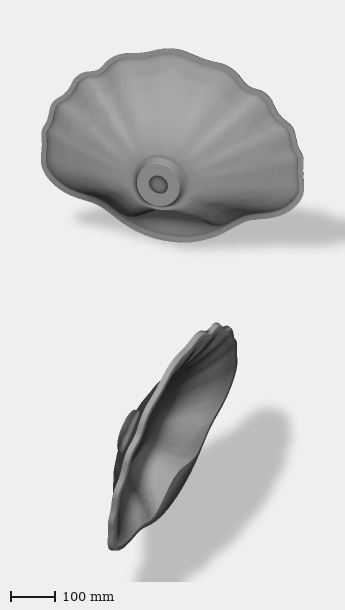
import cadquery as cq
import math


wall = 7.5

rim_thickness = 12.5
rim_draft_inset = 3.0
rim_edge_break = 2.0
lip_width = 12.0
deck_y = -wall

bowl_gap = 2.0
bowl_floor_y = -102.0
bowl_floor_radius = 65.0
top_rim_slope = 0.55
top_floor_slope = 0.35
side_rim_slope = 0.75
side_floor_slope = -0.1
cavity_inset = 3.0

notch_height = 68.5
notch_half_width = 133.5

boss_height = 20.0
boss_tip_radius = 50.5
boss_draft = math.radians(9.5)
boss_fillet = 10.5
drain_radius = 23.0
sump_radius = boss_tip_radius - wall

stopper_lift = 11.0
stopper_face_radius = 30.5
stopper_bevel_height = 5.5

boss_tip_y = bowl_floor_y - boss_height
sump_floor_y = boss_tip_y + wall
cavity_floor_y = bowl_floor_y + wall

half_outline = [
    (0, 289.0), (30.0, 285.5), (58.5, 276.0), (87.0, 269.0), (118.0, 265.0), (139.0, 255.5),
    (156.5, 241.0), (175.5, 221.0), (193.0, 214.0), (209.5, 210.0), (226.0, 199.0), (235.0, 188.0), (240.5, 175.5),
    (249.0, 161.5), (260.0, 149.0), (273.0, 140.0), (285.0, 127.0), (290.5, 111.0), (293.5, 96.0),
    (298.5, 80.0), (306.5, 65.0), (309.5, 48.5), (308.5, 28.5), (311.0, -9.0), (307.0, -32.5),
    (289.0, -59.5), (257.0, -83.5), (216.5, -96.5), (181.0, -104.5), (150.0, -121.0), (117.5, -143.0),
    (78.5, -161.5), (40.0, -172.0), (0, -175.5),
]
outline_samples = 144
profile_steps = 6


def closed_spline(points):
    """Closed smooth wire through points."""
    return cq.Wire.assembleEdges([cq.Edge.makeSpline(points, periodic=True)])


def rim_wire(distance, y):
    """Inset rim outline as a wire in the plane at y."""
    return closed_spline([cq.Vector(x, y, z) for x, z in inset_outline(distance)])


def rim_outline():
    """The scalloped outline as one closed edge, symmetric about x = 0."""
    mirrored = [(-x, z) for x, z in half_outline[-2:0:-1]]
    points = [cq.Vector(x, 0, z) for x, z in half_outline + mirrored]
    return cq.Edge.makeSpline(points, periodic=True)


def inset_outline(distance):
    """Points of the rim outline moved inward by a distance."""
    edge = rim_outline()
    fractions = [i / outline_samples for i in range(outline_samples)]
    points = []
    for place, tangent in zip(edge.positions(fractions), edge.tangents(fractions)):
        points.append((place.x + distance * tangent.z, place.z - distance * tangent.x))
    return points


def bowl_outline(distance):
    """Inset outline with a rounded notch raised into its lower side."""
    points = []
    for x, z in inset_outline(distance):
        if z < 0 and abs(x) < notch_half_width:
            z += notch_height * math.cos(math.pi * x / (2 * notch_half_width)) ** 2
        points.append((x, z))
    return points


def wall_profile(u, upness):
    """Depth fraction of the bowl wall: cubic from 0 at the outline to 1 at the floor circle.

    upness is 1 straight up from the drain and 0 at the sides and below.
    """
    rim_slope = side_rim_slope + upness * (top_rim_slope - side_rim_slope)
    floor_slope = side_floor_slope + upness * (top_floor_slope - side_floor_slope)
    from_rim = rim_slope * (u - 2 * u**2 + u**3)
    to_floor = floor_slope * (u**3 - u**2)
    return from_rim + to_floor + 3 * u**2 - 2 * u**3


def bowl_solid(outline, start_y, floor_radius, floor_y):
    """Solid lofted along radial lines from an outline to the floor circle."""
    sections = []
    for step in range(profile_steps + 1):
        u = step / profile_steps
        points = []
        for x, z in outline:
            radius = math.hypot(x, z)
            shrink = 1 - u + u * floor_radius / radius
            depth = wall_profile(u, max(0, z / radius) ** 2) * (floor_y - start_y)
            points.append(cq.Vector(x * shrink, start_y + depth, z * shrink))
        sections.append(closed_spline(points))
    return cq.Workplane(cq.Solid.makeLoft(sections))


def cylinder_y(radius, start_y, length):
    """Cylinder on the drain axis, from start_y toward +Y."""
    return cq.Workplane(cq.Solid.makeCylinder(radius, length, cq.Vector(0, start_y, 0), cq.Vector(0, 1, 0)))


def make_rim():
    """Drafted, bevelled slab with the recess that leaves the lip and the deck."""
    sections = [
        rim_wire(0, -rim_thickness),
        rim_wire(rim_draft_inset, -rim_edge_break),
        rim_wire(rim_draft_inset + rim_edge_break, 0),
    ]
    slab = cq.Workplane(cq.Solid.makeLoft(sections, ruled=True))
    recess_wire = rim_wire(lip_width, -rim_thickness)
    recess = cq.Solid.extrudeLinear(recess_wire, [], cq.Vector(0, deck_y + rim_thickness, 0))
    return slab.cut(cq.Workplane(recess))


def make_boss():
    """Drafted drain boss that flares into the bowl floor through a fillet."""
    tangent_length = boss_fillet * math.tan((math.pi / 2 - boss_draft) / 2)
    base_radius = boss_tip_radius + boss_height * math.tan(boss_draft)
    fillet_outer = base_radius + tangent_length
    side_radius = base_radius - tangent_length * math.sin(boss_draft)
    side_y = bowl_floor_y - tangent_length * math.cos(boss_draft)
    centre_y = bowl_floor_y - boss_fillet
    half_sweep = (math.pi / 2 - boss_draft) / 2
    mid_radius = fillet_outer - boss_fillet * math.sin(half_sweep)
    mid_y = centre_y + boss_fillet * math.cos(half_sweep)
    return (
        cq.Workplane("XY")
        .moveTo(0, boss_tip_y)
        .lineTo(boss_tip_radius, boss_tip_y)
        .lineTo(side_radius, side_y)
        .threePointArc((mid_radius, mid_y), (fillet_outer, bowl_floor_y))
        .lineTo(0, bowl_floor_y)
        .close()
        .revolve(360, (0, 0, 0), (0, 1, 0))
    )


def make_basin():
    outside = bowl_solid(bowl_outline(lip_width + bowl_gap), deck_y, bowl_floor_radius, bowl_floor_y)
    cavity_outline = bowl_outline(lip_width + bowl_gap + cavity_inset)
    cavity = bowl_solid(cavity_outline, 0, bowl_floor_radius - cavity_inset, cavity_floor_y)
    sump = cylinder_y(sump_radius, sump_floor_y, cavity_floor_y - sump_floor_y)
    drain = cylinder_y(drain_radius, boss_tip_y, wall)
    return make_rim().union(outside).union(make_boss()).cut(cavity).cut(sump).cut(drain)


def make_stopper():
    """Disc with a bevelled lower edge that fits the sump and ends flush with the bowl floor."""
    face_y = sump_floor_y + stopper_lift
    return (
        cq.Workplane("XY")
        .moveTo(0, face_y)
        .lineTo(stopper_face_radius, face_y)
        .lineTo(sump_radius, face_y + stopper_bevel_height)
        .lineTo(sump_radius, cavity_floor_y)
        .lineTo(0, cavity_floor_y)
        .close()
        .revolve(360, (0, 0, 0), (0, 1, 0))
    )


basin = make_basin()
stopper = make_stopper()

result = cq.Compound.makeCompound([basin.solids().val(), stopper.val()])